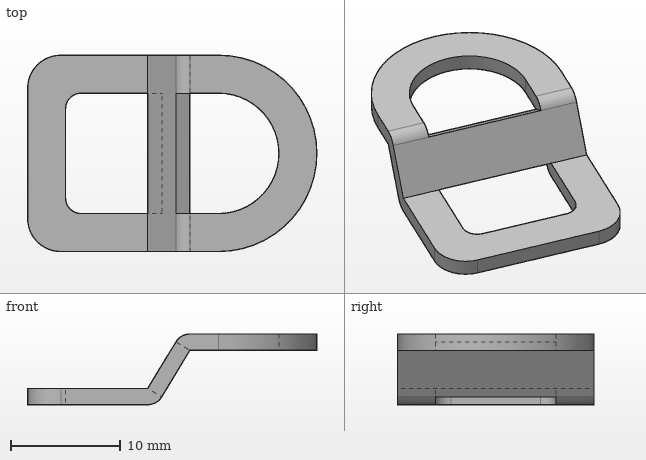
import cadquery as cq
import math

length = 26.5
width = 18.0
height = 6.5
thickness = 1.5

rim = 3.5
outer_corner_radius = 3.05
window_corner_radius = 1.4
nose_radius = width / 2
nose_center_x = length - nose_radius
window_radius = nose_radius - rim

lower_bend_x = 11.0
upper_bend_x = 14.87
lower_top_z = thickness
upper_bottom_z = height - thickness
joggle_run = upper_bend_x - lower_bend_x
joggle_rise = upper_bottom_z - lower_top_z

ramp_angle = math.atan2(joggle_rise, joggle_run) + math.asin(
    thickness / math.hypot(joggle_run, joggle_rise)
)


def offset_from(corner, angle, distance=thickness):
    """Point at a distance from a corner, along an angle in the XZ plane."""
    x, z = corner
    return (x + distance * math.cos(angle), z + distance * math.sin(angle))


lower_corner = (lower_bend_x, lower_top_z)
upper_corner = (upper_bend_x, upper_bottom_z)
down_normal = ramp_angle - math.pi / 2
up_normal = ramp_angle + math.pi / 2
ramp_bottom = offset_from(lower_corner, down_normal)
ramp_top = offset_from(upper_corner, up_normal)
lower_bend_middle = offset_from(lower_corner, (down_normal - math.pi / 2) / 2)
upper_bend_middle = offset_from(upper_corner, (up_normal + math.pi / 2) / 2)


def extrude_across(profile):
    """Extrude an XZ profile over the full width, centred on Y = 0."""
    return profile.extrude(width / 2, both=True)


def d_prism(start_x, radius, corner_radius):
    """Full-height D shape: rounded corners at -X, semicircular nose at +X."""
    return (
        cq.Workplane("XY")
        .moveTo(start_x, -radius)
        .lineTo(nose_center_x, -radius)
        .threePointArc((nose_center_x + radius, 0), (nose_center_x, radius))
        .lineTo(start_x, radius)
        .close()
        .extrude(height)
        .edges("|Z and <X")
        .fillet(corner_radius)
    )


strip = extrude_across(
    cq.Workplane("XZ")
    .moveTo(0, 0)
    .lineTo(lower_bend_x, 0)
    .threePointArc(lower_bend_middle, ramp_bottom)
    .lineTo(*upper_corner)
    .lineTo(length, upper_bottom_z)
    .lineTo(length, height)
    .lineTo(upper_bend_x, height)
    .threePointArc(upper_bend_middle, ramp_top)
    .lineTo(*lower_corner)
    .lineTo(0, lower_top_z)
    .close()
)

ramp = extrude_across(
    cq.Workplane("XZ").polyline([lower_corner, ramp_bottom, upper_corner, ramp_top]).close()
)
outline = d_prism(0, nose_radius, outer_corner_radius)
window = d_prism(rim, window_radius, window_corner_radius)

result = strip.intersect(outline).cut(window.cut(ramp))